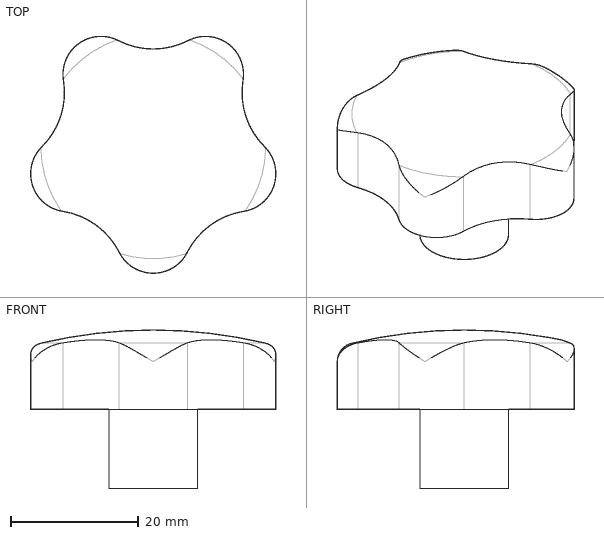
import cadquery as cq
import math

LOBE_COUNT = 5
OUTER_RADIUS = 20.0
LOBE_RADIUS = 6.0
SCALLOP_RADIUS = 12.0
FIRST_LOBE_ANGLE = -90.0
STEM_DIAMETER = 14.0
STEM_HEIGHT = 12.5
HEAD_HEIGHT = 12.5
RIM_HEIGHT = 7.5
RIM_ROUND = 3.0

LOBE_PITCH = 360.0 / LOBE_COUNT
LOBE_CENTER_RADIUS = OUTER_RADIUS - LOBE_RADIUS
HALF_PITCH = math.radians(LOBE_PITCH / 2)
CENTER_GAP = LOBE_RADIUS + SCALLOP_RADIUS
SCALLOP_CENTER_RADIUS = LOBE_CENTER_RADIUS * math.cos(HALF_PITCH) + math.sqrt(
    CENTER_GAP**2 - (LOBE_CENTER_RADIUS * math.sin(HALF_PITCH)) ** 2
)
SCALLOP_FLOOR_RADIUS = SCALLOP_CENTER_RADIUS - SCALLOP_RADIUS

ROUND_CENTER_RADIUS = OUTER_RADIUS - RIM_ROUND
DOME_RISE = HEAD_HEIGHT - RIM_HEIGHT
DOME_RADIUS = (ROUND_CENTER_RADIUS**2 + DOME_RISE**2 - RIM_ROUND**2) / (2 * (DOME_RISE - RIM_ROUND))


def polar(radius, angle):
    """Point at a radius and an angle in degrees."""
    return (radius * math.cos(math.radians(angle)), radius * math.sin(math.radians(angle)))


def point_between(start, end, distance):
    """Point at a distance from start towards end."""
    fraction = distance / math.dist(start, end)
    return (start[0] + fraction * (end[0] - start[0]), start[1] + fraction * (end[1] - start[1]))


def star_prism():
    """Lobed outline of the head, extruded to its full height."""

    def tangent_point(lobe_angle, side):
        lobe_center = polar(LOBE_CENTER_RADIUS, lobe_angle)
        scallop_center = polar(SCALLOP_CENTER_RADIUS, lobe_angle + side * LOBE_PITCH / 2)
        return point_between(lobe_center, scallop_center, LOBE_RADIUS)

    outline = cq.Workplane("XY", origin=(0, 0, STEM_HEIGHT)).moveTo(*tangent_point(FIRST_LOBE_ANGLE, -1))
    for index in range(LOBE_COUNT):
        angle = FIRST_LOBE_ANGLE + index * LOBE_PITCH
        lobe_tip = polar(OUTER_RADIUS, angle)
        scallop_floor = polar(SCALLOP_FLOOR_RADIUS, angle + LOBE_PITCH / 2)
        outline = outline.threePointArc(lobe_tip, tangent_point(angle, 1))
        outline = outline.threePointArc(scallop_floor, tangent_point(angle + LOBE_PITCH, -1))
    return outline.close().extrude(HEAD_HEIGHT)


def domed_disc():
    """Round blank with a rounded rim running tangentially into a spherical dome."""
    dome_center = (0, HEAD_HEIGHT - DOME_RADIUS)
    round_center = (ROUND_CENTER_RADIUS, RIM_HEIGHT)
    rim_top = point_between(dome_center, round_center, DOME_RADIUS)
    tilt = math.atan2(rim_top[0], rim_top[1] - dome_center[1])
    dome_mid = (DOME_RADIUS * math.sin(tilt / 2), dome_center[1] + DOME_RADIUS * math.cos(tilt / 2))
    round_angle = (math.pi / 2 + tilt) / 2
    round_mid = (
        round_center[0] + RIM_ROUND * math.sin(round_angle),
        round_center[1] + RIM_ROUND * math.cos(round_angle),
    )
    profile = (
        cq.Workplane("XZ", origin=(0, 0, STEM_HEIGHT))
        .lineTo(OUTER_RADIUS, 0)
        .lineTo(OUTER_RADIUS, RIM_HEIGHT)
        .threePointArc(round_mid, rim_top)
        .threePointArc(dome_mid, (0, HEAD_HEIGHT))
        .close()
    )
    return profile.revolve(360, (0, 0, 0), (0, 1, 0))


def stem():
    """Plain cylindrical stem under the head."""
    return cq.Workplane("XY").circle(STEM_DIAMETER / 2).extrude(STEM_HEIGHT)


head = star_prism().intersect(domed_disc())
result = head.union(stem())